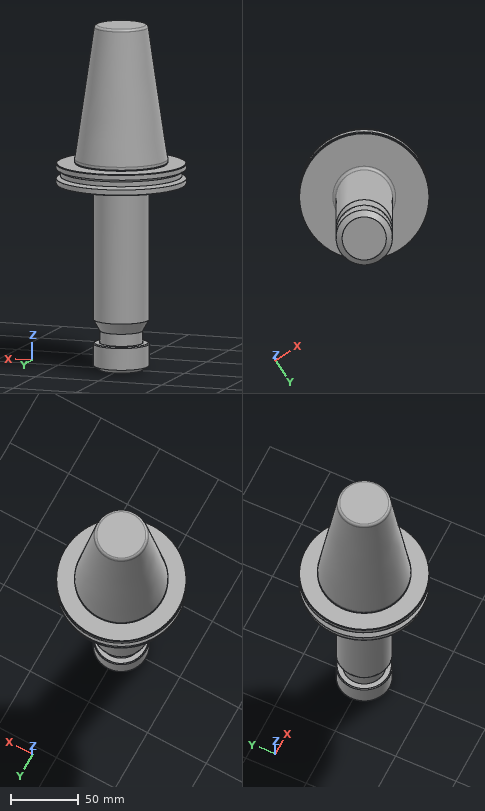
import cadquery as cq
import math

total_length = 261.5
taper_length = 101.8
flange_gap = 3.1
flange_thickness = 16.0
shank_end = -223.5
neck_top = -232.0
collar_top = -241.2
tip_chamfer_height = 3.1

gauge_radius = 69.8 / 2
flange_radius = 97.5 / 2
groove_radius = 91.0 / 2
shank_radius = 42.0 / 2
neck_radius = 16.2
tip_radius = 16.5

taper_ratio = 7 / 24
groove_floor_width = 3.7
groove_included_angle = 60
groove_below_gauge = 11.0
end_fillet = 2.0
root_fillet = 2.4
flange_chamfer = 0.5
collar_chamfer = 0.8
undercut_depth = 0.5
undercut_height = 0.8

gauge_z = -taper_length
flange_top = gauge_z - flange_gap
flange_bottom = flange_top - flange_thickness
tip_z = -total_length
taper_end_radius = gauge_radius - taper_length * taper_ratio / 2


def make_taper():
    """Tapered shank with a rounded small end."""
    cone = (
        cq.Workplane("XZ")
        .polyline([(0, 0), (taper_end_radius, 0), (gauge_radius, gauge_z), (0, gauge_z)])
        .close()
        .revolve(360, (0, 0, 0), (0, 1, 0))
    )
    return cone.faces(">Z").edges().fillet(end_fillet)


def make_cylinder(radius, top, bottom):
    """Cylinder on the tool axis between two heights."""
    return cq.Workplane("XY").workplane(offset=bottom).circle(radius).extrude(top - bottom)


def make_flange():
    """Gripper flange with chamfered rims and a V groove."""
    flange = make_cylinder(flange_radius, flange_top, flange_bottom)
    flange = flange.faces("<Z or >Z").edges().chamfer(flange_chamfer)
    groove_z = gauge_z - groove_below_gauge
    half_floor = groove_floor_width / 2
    wall_slope = math.tan(math.radians(groove_included_angle / 2))
    half_mouth = half_floor + (flange_radius - groove_radius) * wall_slope
    groove = (
        cq.Workplane("XZ")
        .polyline([
            (groove_radius, groove_z + half_floor),
            (flange_radius, groove_z + half_mouth),
            (flange_radius, groove_z - half_mouth),
            (groove_radius, groove_z - half_floor),
        ])
        .close()
        .revolve(360, (0, 0, 0), (0, 1, 0))
    )
    return flange.cut(groove)


def make_gauge_collar():
    """Short collar under the taper, undercut where it meets the flange."""
    undercut_top = flange_top + undercut_height
    collar = make_cylinder(gauge_radius, gauge_z, undercut_top)
    return collar.union(make_cylinder(gauge_radius - undercut_depth, undercut_top, flange_top))


def make_holder():
    """Shank, conical shoulder, neck and clamping collar below the flange."""
    fillet_center = (shank_radius + root_fillet, flange_bottom - root_fillet)
    fillet_middle = (
        fillet_center[0] - root_fillet * math.cos(math.pi / 4),
        fillet_center[1] + root_fillet * math.sin(math.pi / 4),
    )
    return (
        cq.Workplane("XZ")
        .moveTo(0, flange_bottom)
        .lineTo(shank_radius + root_fillet, flange_bottom)
        .threePointArc(fillet_middle, (shank_radius, flange_bottom - root_fillet))
        .lineTo(shank_radius, shank_end)
        .lineTo(neck_radius, neck_top)
        .lineTo(neck_radius, collar_top)
        .lineTo(shank_radius - collar_chamfer, collar_top)
        .lineTo(shank_radius, collar_top - collar_chamfer)
        .lineTo(shank_radius, tip_z + tip_chamfer_height)
        .lineTo(tip_radius, tip_z)
        .lineTo(0, tip_z)
        .close()
        .revolve(360, (0, 0, 0), (0, 1, 0))
    )


result = make_taper().union(make_gauge_collar()).union(make_flange()).union(make_holder())